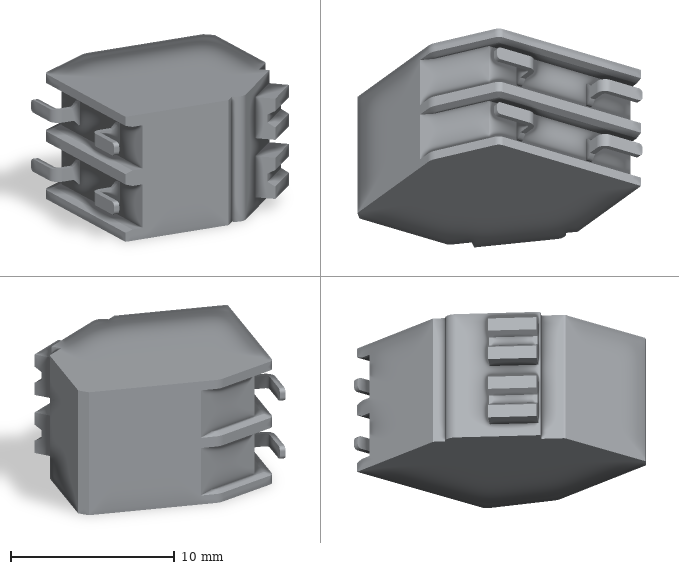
import cadquery as cq
import math

width = 12.7
length = 13.82
height = 8.02
lead_drop = 0.64

pitch = 3.79
terminal_heights = [height / 2 - pitch / 2, height / 2 + pitch / 2]

housing_depth = 12.92
foot_run = 2.39
foot_rise = 4.05
foot_left_radius = 1.0
foot_front_radius = 0.5
back_chamfer_x = 0.5
back_chamfer_y = 0.54
bevel_middle = 9.95
bevel_sum = 2 * bevel_middle
bevel_edge_radius = 0.22

corner_plane = cq.Plane(origin=(bevel_middle, bevel_middle, 0), xDir=(1, -1, 0), normal=(0, 0, 1))

recess_height = 2.79
recess_floor = 1.19
recess_corner_x = 2.4
recess_left_y = 5.27

end_plate = height / 2 - pitch / 2 - recess_height / 2
middle_plate = pitch - recess_height
rim_depth = 0.48
end_rim_drop = 0.14
middle_rim_drop = 0.17

platform_start = -2.75
platform_end = 3.15
platform_height = 0.68

button_start = -2.63
button_length = 2.99
button_width = 2.64
button_top = (length - lead_drop - bevel_middle) * math.sqrt(2) + button_start
groove_depth = 0.5
groove_top_width = 1.06
groove_floor_width = 0.53

lead_middle_x = 7.12
lead_span = 10.59
lead_gap = 4.7
lead_thickness = 0.36
lead_width = 0.82
lead_bend_radius = 0.6
lead_tip_radius = 0.28
shoulder_width = 1.49
shoulder_end_y = 1.08
lead_root_y = 1.55


def outline(right, back, thickness):
    """Block from the origin to (right, back, thickness) with a sloped, rounded front left corner."""
    block = (
        cq.Workplane("XY")
        .polyline([(0, foot_rise), (foot_run, 0), (right, 0), (right, back), (0, back)])
        .close()
        .extrude(thickness)
    )
    left_edge = (0, foot_rise, thickness / 2)
    front_edge = (foot_run, 0, thickness / 2)
    block = block.edges("|Z").edges(cq.NearestToPointSelector(left_edge)).fillet(foot_left_radius)
    return block.edges("|Z").edges(cq.NearestToPointSelector(front_edge)).fillet(foot_front_radius)


def trimmed_housing():
    """Full-height block with its back corners cut and the front cut back to the recess walls."""
    back_cut = (
        cq.Workplane("XY")
        .polyline([(0, housing_depth - back_chamfer_y), (back_chamfer_x, housing_depth), (0, housing_depth)])
        .close()
        .extrude(height)
    )
    bevel_cut = (
        cq.Workplane("XY")
        .polyline([
            (bevel_sum - housing_depth, housing_depth),
            (width, bevel_sum - width),
            (width, housing_depth),
        ])
        .close()
        .extrude(height)
    )
    front_cut = (
        cq.Workplane("XY")
        .polyline([
            (0, recess_left_y),
            (recess_corner_x, recess_floor),
            (width, recess_floor),
            (width, 0),
            (0, 0),
        ])
        .close()
        .extrude(height)
    )
    block = outline(width, housing_depth, height).cut(back_cut).cut(bevel_cut)
    bevel_edge = (bevel_sum - housing_depth, housing_depth, height / 2)
    block = block.edges("|Z").edges(cq.NearestToPointSelector(bevel_edge)).fillet(bevel_edge_radius)
    return block.cut(front_cut)


def plate(thickness, rim_drop):
    """Plate filling the front of the outline, its upper face sloping down to the rim."""
    plate_depth = bevel_sum - width
    rim_thickness = thickness - rim_drop
    slope_angle = math.degrees(math.atan(rim_depth / rim_drop))
    slab = (
        outline(width + 2 * rim_depth, plate_depth + 2 * rim_depth, rim_thickness)
        .faces(">Z")
        .wires()
        .toPending()
        .workplane()
        .extrude(rim_drop, taper=slope_angle)
    )
    return slab.intersect(cq.Workplane("XY").box(width, plate_depth, thickness, centered=False))


def platform():
    """Raised strip along the 45 degree corner, rounded at its front end."""
    return (
        cq.Workplane(corner_plane)
        .moveTo(platform_start, -platform_height)
        .lineTo(platform_start, platform_height)
        .lineTo(platform_end - platform_height, platform_height)
        .radiusArc((platform_end, 0), platform_height)
        .lineTo(platform_end - platform_height, -platform_height)
        .close()
        .extrude(height)
    )


def button(z):
    """Push button with a tapered groove along its outer face."""
    button_end = corner_plane.toWorldCoords((button_start + button_length, 0, z))
    section_plane = cq.Plane(origin=button_end, xDir=(0, 0, 1), normal=(-1, 1, 0))
    groove_floor = button_top - groove_depth
    return (
        cq.Workplane(section_plane)
        .polyline([
            (-button_width / 2, 0),
            (-button_width / 2, button_top),
            (-groove_top_width / 2, button_top),
            (-groove_floor_width / 2, groove_floor),
            (groove_floor_width / 2, groove_floor),
            (groove_top_width / 2, button_top),
            (button_width / 2, button_top),
            (button_width / 2, 0),
        ])
        .close()
        .extrude(button_length)
    )


def lead_pair(z):
    """Two mirrored leads that leave the recess wall and bend outward."""
    inner_x = lead_gap / 2
    outer_x = inner_x + lead_thickness
    tip_x = lead_span / 2
    inner_bend_radius = lead_bend_radius - lead_thickness
    bend_y = lead_bend_radius - lead_drop
    strip = (
        cq.Workplane("XY")
        .moveTo(inner_x, lead_root_y)
        .lineTo(inner_x, bend_y)
        .radiusArc((inner_x + lead_bend_radius, -lead_drop), -lead_bend_radius)
        .lineTo(tip_x, -lead_drop)
        .lineTo(tip_x, lead_thickness - lead_drop)
        .lineTo(outer_x + inner_bend_radius, lead_thickness - lead_drop)
        .radiusArc((outer_x, bend_y), inner_bend_radius)
        .lineTo(outer_x, lead_root_y)
        .close()
        .extrude(lead_width / 2, both=True)
        .edges("|Y and >X")
        .fillet(lead_tip_radius)
    )
    taper = (shoulder_width - lead_width) / 2
    shoulder = (
        cq.Workplane("YZ", origin=(inner_x, 0, 0))
        .polyline([
            (lead_root_y, -shoulder_width / 2),
            (shoulder_end_y, -shoulder_width / 2),
            (shoulder_end_y - taper, -lead_width / 2),
            (shoulder_end_y - taper, lead_width / 2),
            (shoulder_end_y, shoulder_width / 2),
            (lead_root_y, shoulder_width / 2),
        ])
        .close()
        .extrude(lead_thickness)
    )
    right_lead = strip.union(shoulder)
    return right_lead.union(right_lead.mirror("YZ")).translate((lead_middle_x, 0, z))


result = trimmed_housing()
bottom_plate = plate(end_plate, end_rim_drop)
upper_middle_plate = plate(middle_plate / 2, middle_rim_drop).translate((0, 0, height / 2))
for recess_base in [bottom_plate, upper_middle_plate]:
    result = result.union(recess_base)
    result = result.union(recess_base.mirror("XY", (0, 0, height / 2)))
result = result.union(platform())
for terminal_z in terminal_heights:
    result = result.union(button(terminal_z))
    result = result.union(lead_pair(terminal_z))